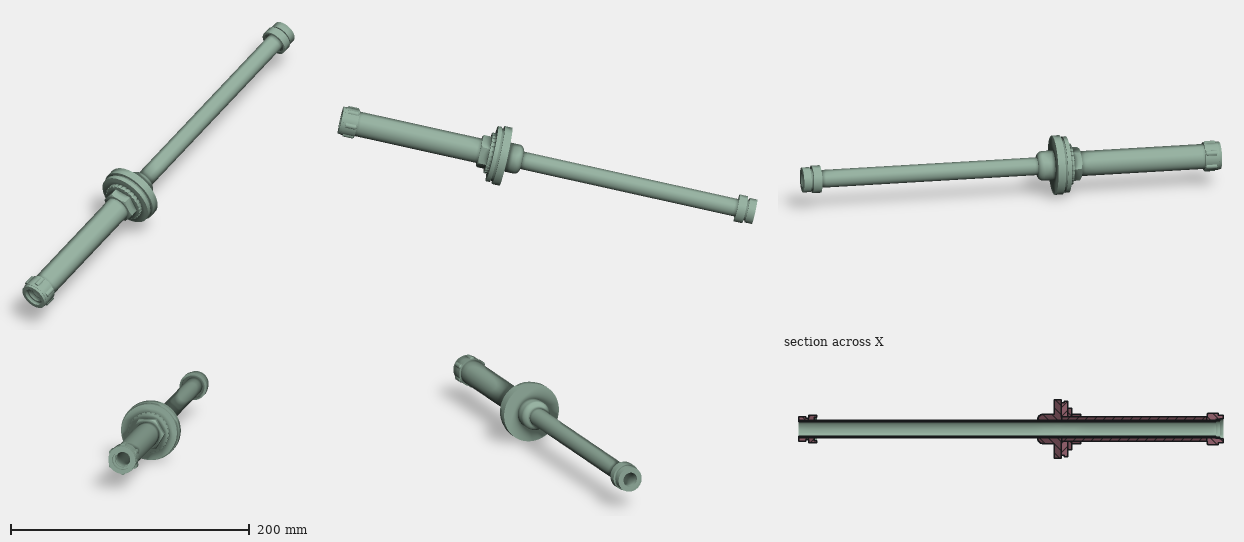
import cadquery as cq
import math

LENGTH = 356.0
FRONT_END = -LENGTH / 2
REAR_END = LENGTH / 2

TUBE_DIAMETER = 15.0
TUBE_BORE = 12.0

BUSH_DIAMETER = 16.5
BUSH_BORE = 13.0
BUSH_LENGTH = 3.5
BUSH_SETBACK = 3.0

SLEEVE_DIAMETER = 21.0

END_RING_DIAMETER = 21.0
END_RING_LENGTH = 6.5
NECK_DIAMETER = 18.0
NECK_LENGTH = 1.8
COLLAR_DIAMETER = 23.0
COLLAR_LENGTH = 7.0
COLLAR_RECESS_DIAMETER = 19.2
COLLAR_RECESS_DEPTH = 1.8

FLANGE_REAR = -36.0
FLANGE_DIAMETER = 50.0
FLANGE_THICKNESS = 6.5
BOSS_DIAMETER = 25.0
BOSS_LENGTH = 14.0
DOME_RADIUS = (BOSS_DIAMETER - TUBE_DIAMETER) / 2

GASKET_DIAMETER = 47.5
GASKET_THICKNESS = 3.4
SPIGOT_DIAMETER = 45.0
SPIGOT_LENGTH = 2.0

WASHER_DIAMETER = 35.0
WASHER_THICKNESS = 3.4
TOOTH_COUNT = 26
TOOTH_GAP_DEPTH = 0.9
TOOTH_GAP_WIDTH = 1.5

NUT_FLATS = 25.0
NUT_THICKNESS = 7.5
NUT_CHAMFER_HEIGHT = 1.0
NUT_CHAMFER_WIDTH = 1.8

CAP_DIAMETER = 24.0
CAP_LENGTH = 14.0
LIP_DIAMETER = 23.0
LIP_LENGTH = 2.0
RIB_COUNT = 6
RIB_TIP_DIAMETER = 26.7
RIB_WIDTH = 4.3
RIB_LENGTH = 9.5
RIB_CHAMFER = 1.0

FLANGE_FRONT = FLANGE_REAR - FLANGE_THICKNESS
SPIGOT_FRONT = FLANGE_FRONT - SPIGOT_LENGTH
GASKET_FRONT = SPIGOT_FRONT - GASKET_THICKNESS
WASHER_FRONT = GASKET_FRONT - WASHER_THICKNESS
NUT_FRONT = WASHER_FRONT - NUT_THICKNESS
CAP_REAR = FRONT_END + CAP_LENGTH
BUSH_FRONT = FRONT_END + BUSH_SETBACK
TUBE_FRONT = BUSH_FRONT + BUSH_LENGTH
COLLAR_REAR = REAR_END - END_RING_LENGTH - NECK_LENGTH


def cross_plane(station):
    """Workplane across the Y axis at a station, facing +Y with its first axis along +X."""
    return cq.Workplane(cq.Plane((0, station, 0), (1, 0, 0), (0, 1, 0)))


def cylinder(diameter, start, length):
    """Solid cylinder on the Y axis that runs from start toward +Y."""
    return cross_plane(start).circle(diameter / 2).extrude(length)


def ring(diameter, bore, start, length):
    """Hollow cylinder on the Y axis that runs from start toward +Y."""
    return cylinder(diameter, start, length).cut(cylinder(bore, start, length))


def around_axis(shape, count):
    """Copies of a shape spread evenly about the Y axis."""
    step = 360.0 / count
    return [shape.rotate((0, 0, 0), (0, 1, 0), i * step) for i in range(count)]


def make_inner_tube():
    return ring(TUBE_DIAMETER, TUBE_BORE, TUBE_FRONT, REAR_END - TUBE_FRONT)


def make_bush():
    return ring(BUSH_DIAMETER, BUSH_BORE, BUSH_FRONT, BUSH_LENGTH)


def make_sleeve():
    return ring(SLEEVE_DIAMETER, TUBE_DIAMETER, CAP_REAR, FLANGE_FRONT - CAP_REAR)


def make_end_ring():
    """Ring with a narrower neck that meets the collar."""
    body = ring(END_RING_DIAMETER, TUBE_DIAMETER, REAR_END - END_RING_LENGTH, END_RING_LENGTH)
    return body.union(ring(NECK_DIAMETER, TUBE_DIAMETER, COLLAR_REAR, NECK_LENGTH))


def make_collar():
    """Collar with a shallow recess around the tube in its front face."""
    collar_front = COLLAR_REAR - COLLAR_LENGTH
    body = ring(COLLAR_DIAMETER, TUBE_DIAMETER, collar_front, COLLAR_LENGTH)
    return body.cut(cylinder(COLLAR_RECESS_DIAMETER, collar_front, COLLAR_RECESS_DEPTH))


def make_flange():
    """Disc with a boss whose rear edge is rounded down to the tube."""
    tube_radius = TUBE_DIAMETER / 2
    boss_radius = BOSS_DIAMETER / 2
    boss_rear = FLANGE_REAR + BOSS_LENGTH
    dome_start = boss_rear - DOME_RADIUS
    arc_middle = DOME_RADIUS * math.sqrt(0.5)
    profile = (
        cq.Workplane("XY")
        .moveTo(tube_radius, FLANGE_FRONT)
        .lineTo(FLANGE_DIAMETER / 2, FLANGE_FRONT)
        .lineTo(FLANGE_DIAMETER / 2, FLANGE_REAR)
        .lineTo(boss_radius, FLANGE_REAR)
        .lineTo(boss_radius, dome_start)
        .threePointArc((tube_radius + arc_middle, dome_start + arc_middle), (tube_radius, boss_rear))
        .close()
    )
    return profile.revolve(360, (0, 0, 0), (0, 1, 0))


def make_gasket():
    disc = ring(GASKET_DIAMETER, SLEEVE_DIAMETER, GASKET_FRONT, GASKET_THICKNESS)
    return disc.union(ring(SPIGOT_DIAMETER, SLEEVE_DIAMETER, SPIGOT_FRONT, SPIGOT_LENGTH))


def make_washer():
    """Ring with square gaps cut in its rim, which leave the teeth."""
    washer = ring(WASHER_DIAMETER, SLEEVE_DIAMETER, WASHER_FRONT, WASHER_THICKNESS)
    gap = cq.Workplane("XY").box(2 * TOOTH_GAP_DEPTH, WASHER_THICKNESS, TOOTH_GAP_WIDTH)
    gap = gap.translate((WASHER_DIAMETER / 2, WASHER_FRONT + WASHER_THICKNESS / 2, 0))
    for copy in around_axis(gap, TOOTH_COUNT):
        washer = washer.cut(copy)
    return washer


def make_nut():
    """Hexagon with corners on +X and -X and its front corners bevelled by a cone."""
    corners = NUT_FLATS / math.cos(math.pi / 6)
    nut = cross_plane(NUT_FRONT).polygon(6, corners).extrude(NUT_THICKNESS)
    envelope = cylinder(corners, NUT_FRONT, NUT_THICKNESS)
    envelope = envelope.faces("<Y").chamfer(NUT_CHAMFER_HEIGHT, NUT_CHAMFER_WIDTH)
    return nut.intersect(envelope).cut(cylinder(SLEEVE_DIAMETER, NUT_FRONT, NUT_THICKNESS))


def make_cap():
    """Cap with a narrower front lip and ribs that end short of the lip."""
    cap = cylinder(CAP_DIAMETER, FRONT_END + LIP_LENGTH, CAP_LENGTH - LIP_LENGTH)
    cap = cap.union(cylinder(LIP_DIAMETER, FRONT_END, LIP_LENGTH))
    rib = (
        cylinder(RIB_WIDTH, CAP_REAR - RIB_LENGTH, RIB_LENGTH)
        .faces(">Y")
        .chamfer(RIB_CHAMFER)
        .translate((0, 0, (RIB_TIP_DIAMETER - RIB_WIDTH) / 2))
    )
    for copy in around_axis(rib, RIB_COUNT):
        cap = cap.union(copy)
    cap = cap.cut(cylinder(BUSH_DIAMETER, FRONT_END, TUBE_FRONT - FRONT_END))
    return cap.cut(cylinder(TUBE_DIAMETER, TUBE_FRONT, CAP_REAR - TUBE_FRONT))


inner_tube = make_inner_tube()
bush = make_bush()
sleeve = make_sleeve()
end_ring = make_end_ring()
collar = make_collar()
flange = make_flange()
gasket = make_gasket()
washer = make_washer()
nut = make_nut()
cap = make_cap()

bodies = [inner_tube, bush, sleeve, end_ring, collar, flange, gasket, washer, nut, cap]
result = cq.Compound.makeCompound([body.val() for body in bodies])